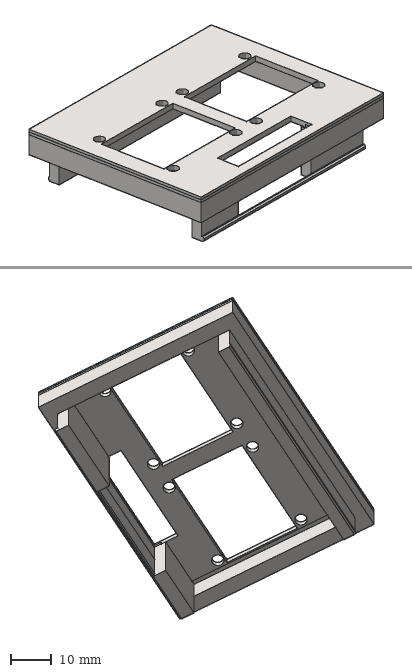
import cadquery as cq
import math

length = 69.9
width = 54.8
height = 15.0

flange_thickness = 0.8
gasket_thickness = 0.8
frame_depth = 5.6
gasket_top = height - flange_thickness
frame_top = gasket_top - gasket_thickness
frame_bottom = frame_top - frame_depth
frame_wall = 4.0
gasket_border = 5.0

window_width = 19.85
window_length = 27.3
window_center_x = 1.1
window_centers_y = (15.9, -15.9)
hole_diameter = 3.0
hole_spacing_x = 23.5
hole_spacing_y = 24.0
hole_pattern_center_x = 0.9

slot_width = 6.65
slot_length = 28.1
slot_center_x = 21.0
slot_center_y = -2.9
frame_slot_shortfall = 0.3

leg_width = 3.15
leg_length = length - 2 * frame_wall
leg_outer_x = width / 2 - 3.15
bead_radius = 0.7
left_bead_offset = -0.4
right_bead_offset = 0.1


def block(size_x, size_y, bottom, top, center_x=0, center_y=0):
    """Upright block between two heights."""
    base = cq.Workplane("XY", origin=(center_x, center_y, bottom))
    return base.rect(size_x, size_y).extrude(top - bottom)


def cut_slot(body, end_shortfall=0):
    """Cut the long slot through the full height of a body."""
    return body.cut(
        block(
            slot_width,
            slot_length - end_shortfall,
            0,
            height,
            slot_center_x,
            slot_center_y - end_shortfall / 2,
        )
    )


def make_cover():
    """Flanged cover whose thicker centre fits inside the gasket."""
    flange = block(width, length, gasket_top, height)
    plug = block(width - 2 * gasket_border, length - 2 * gasket_border, frame_top, gasket_top)
    cover = flange.union(plug)
    for center_y in window_centers_y:
        cover = cover.cut(
            block(window_width, window_length, frame_top, height, window_center_x, center_y)
        )
        holes = (
            cq.Workplane("XY", origin=(hole_pattern_center_x, center_y, frame_top))
            .rect(hole_spacing_x, hole_spacing_y, forConstruction=True)
            .vertices()
            .circle(hole_diameter / 2)
            .extrude(height - frame_top)
        )
        cover = cover.cut(holes)
    return cut_slot(cover)


def make_ring(border, bottom, top):
    """Rectangular ring with the full outer size and an even border."""
    opening = block(width - 2 * border, length - 2 * border, bottom, top)
    return block(width, length, bottom, top).cut(opening)


def make_leg(side, bead_offset):
    """Leg reaching up to the cover; side is -1 for left and +1 for right."""
    outer = side * leg_outer_x
    inner = side * (leg_outer_x - leg_width)
    flat_half = bead_radius * math.tan(math.pi / 8)
    lip = side * (leg_outer_x + bead_offset + bead_radius)
    bottom_corner = side * (leg_outer_x + bead_offset + flat_half)
    ledge_reach = max(0, bead_offset + flat_half)
    ledge = side * (leg_outer_x + ledge_reach)
    bead_top = bead_radius + flat_half + bead_offset + bead_radius - ledge_reach
    profile = [
        (inner, 0),
        (bottom_corner, 0),
        (lip, bead_radius - flat_half),
        (lip, bead_radius + flat_half),
        (ledge, bead_top),
    ]
    if ledge_reach > 0:
        profile.append((outer, bead_top))
    profile += [(outer, frame_top), (inner, frame_top)]
    return cq.Workplane("XZ").polyline(profile).close().extrude(leg_length / 2, both=True)


def make_frame():
    """Open rim carrying both legs; the slot interrupts the right leg."""
    frame = make_ring(frame_wall, frame_bottom, frame_top)
    for side, bead_offset in ((-1, left_bead_offset), (1, right_bead_offset)):
        frame = frame.union(make_leg(side, bead_offset))
    return cut_slot(frame, frame_slot_shortfall)


cover = make_cover()
gasket = cut_slot(make_ring(gasket_border, frame_top, gasket_top))
frame = make_frame()

result = cq.Compound.makeCompound([cover.val(), gasket.val(), frame.val()])